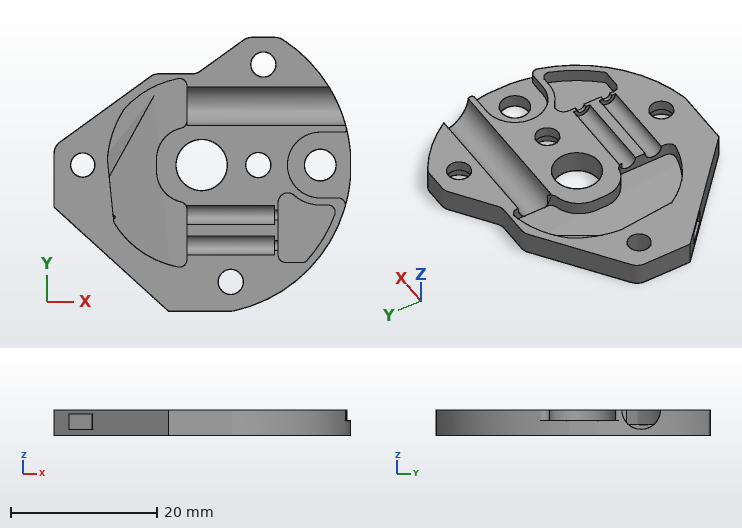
import cadquery as cq
import math

THICKNESS = 3.5
RIM_RADIUS = 20.45
RIGHT_FLAT_X = 20.4
LEFT_X = RIGHT_FLAT_X - 40.6
TOP_Y = 17.5
BOTTOM_Y = TOP_Y - 37.5
SHOULDER_Y = 12.5
CORNER_RADIUS = 2.0
LEFT_LOW = (LEFT_X, -5.75)
BOTTOM_LEFT = (-4.55, BOTTOM_Y)
TOP_LEFT_X = 6.25
SHOULDER_RIGHT_X = -0.7
SHOULDER_LEFT_X = -6.5
LEFT_HIGH_Y = 2.55

PICK_MARGIN = 0.1

MAIN_BORE = 7.0
PIN_HOLE = 3.3
PIN_X = -16.3
PORT_HOLE = 4.3
PORT_X = 16.25
SCREW_HOLE = 3.4
SCREW_POINTS = [(8.45, 13.75), (3.98, -16.0), (7.75, 0)]
COUNTERBORE = 5.28
COUNTERBORE_DEPTH = 1.9

POCKET_FLOOR = 1.5
POCKET_RIGHT_X = -2.05
POCKET_CENTER = (-0.8, -1.05)
POCKET_RADIUS = 13.1
POCKET_CORNER = 0.97
ISLAND_LEFT_X = -6.17
ISLAND_HALF_WIDTH = 5.15
ISLAND_CORNER = 4.3
POCKET_SHOULDER_X = -10.68
POCKET_LEFT_MID = (-12.15, 4.55)
POCKET_LEFT_TOP = (-12.9, 0.8)
POCKET_LEFT_LOW_X = -12.0
RAMP_TIP = (-6.55, 9.45, POCKET_FLOOR)
RAMP_HINGE_END = (-4.35, -13.7, POCKET_FLOOR)
RAMP_SIDE = (-12.8, 1.6, POCKET_FLOOR)

DUCT_BOTTOM = 0.85
DUCT_TOP = 2.92
DUCT_START = 2.8
DUCT_WIDTH = 4.35
DUCT_LENGTH = 4.65
RAMP_LOW = (-12.65, -1.62, DUCT_BOTTOM)

CHANNEL_Y = 8.05
CHANNEL_RADIUS = 2.65
SMALL_GROOVE_YS = (-6.85, -11.0)
SMALL_GROOVE_RADIUS = 1.3
SMALL_GROOVE_END_X = 9.95
NECK_RADIUS = 0.7

RECESS_FLOOR = 2.05
RECESS_RADIUS = 4.5
LIP_UPPER_ROUND = 0.35
LIP_LOWER_ROUND = 0.97

SIDE_FLOOR = 1.5
SIDE_LEFT_X = 10.47
SIDE_BOTTOM_Y = -13.3
SIDE_RIM_RADIUS = 19.45
SIDE_INNER_RADIUS = 5.5
SIDE_NOSE_RADIUS = 1.3
SIDE_CORNER = 0.97
SIDE_TIP_CORNER = 0.5


def polar(center, radius, angle):
    """Point on a circle, with the angle in radians."""
    return (center[0] + radius * math.cos(angle), center[1] + radius * math.sin(angle))


def leg(radius, other):
    """Second leg of a right triangle with the given hypotenuse."""
    return math.sqrt(radius**2 - other**2)


def edge_at(x, y):
    """Selector for the upright edge at one point of an outline."""
    return cq.selectors.BoxSelector(
        (x - PICK_MARGIN, y - PICK_MARGIN, 0), (x + PICK_MARGIN, y + PICK_MARGIN, THICKNESS)
    )


def make_plate():
    flat_half = leg(RIM_RADIUS, RIGHT_FLAT_X)
    outline = (
        cq.Workplane()
        .moveTo(*LEFT_LOW)
        .lineTo(*BOTTOM_LEFT)
        .lineTo(leg(RIM_RADIUS, BOTTOM_Y), BOTTOM_Y)
        .threePointArc(polar((0, 0), RIM_RADIUS, -math.pi / 6), (RIGHT_FLAT_X, -flat_half))
        .lineTo(RIGHT_FLAT_X, flat_half)
        .threePointArc(polar((0, 0), RIM_RADIUS, math.pi / 6), (leg(RIM_RADIUS, TOP_Y), TOP_Y))
        .lineTo(TOP_LEFT_X, TOP_Y)
        .lineTo(SHOULDER_RIGHT_X, SHOULDER_Y)
        .lineTo(SHOULDER_LEFT_X, SHOULDER_Y)
        .lineTo(LEFT_X, LEFT_HIGH_Y)
        .close()
    )
    plate = outline.extrude(THICKNESS)
    sharp = [LEFT_LOW, BOTTOM_LEFT, (RIGHT_FLAT_X, -flat_half), (RIGHT_FLAT_X, flat_half)]
    rounded = cq.StringSyntaxSelector("|Z")
    for point in sharp:
        rounded = rounded - edge_at(*point)
    return plate.edges(rounded).fillet(CORNER_RADIUS)


def make_holes():
    holes = cq.Workplane().circle(MAIN_BORE / 2).extrude(THICKNESS)
    holes = holes.union(cq.Workplane().center(PIN_X, 0).circle(PIN_HOLE / 2).extrude(THICKNESS))
    holes = holes.union(cq.Workplane().center(PORT_X, 0).circle(PORT_HOLE / 2).extrude(THICKNESS))
    screws = cq.Workplane().pushPoints(SCREW_POINTS)
    holes = holes.union(screws.circle(SCREW_HOLE / 2).extrude(THICKNESS))
    return holes.union(screws.circle(COUNTERBORE / 2).extrude(COUNTERBORE_DEPTH))


def make_crescent():
    """Full-height column with the outline of the crescent pocket."""
    cx, cy = POCKET_CENTER
    half_height = leg(POCKET_RADIUS, POCKET_RIGHT_X - cx)
    shoulder_angle = math.acos((POCKET_SHOULDER_X - cx) / POCKET_RADIUS)
    low_angle = -math.acos((POCKET_LEFT_LOW_X - cx) / POCKET_RADIUS)
    outline = (
        cq.Workplane()
        .moveTo(POCKET_RIGHT_X, cy + half_height)
        .threePointArc(
            polar(POCKET_CENTER, POCKET_RADIUS, (shoulder_angle + math.pi / 2) / 2),
            polar(POCKET_CENTER, POCKET_RADIUS, shoulder_angle),
        )
        .threePointArc(POCKET_LEFT_MID, POCKET_LEFT_TOP)
        .lineTo(*polar(POCKET_CENTER, POCKET_RADIUS, low_angle))
        .threePointArc(
            polar(POCKET_CENTER, POCKET_RADIUS, (low_angle - math.pi / 2) / 2),
            (POCKET_RIGHT_X, cy - half_height),
        )
        .close()
    )
    island = (
        cq.Workplane()
        .rect(-2 * ISLAND_LEFT_X, 2 * ISLAND_HALF_WIDTH)
        .extrude(THICKNESS)
        .edges("|Z and <X")
        .fillet(ISLAND_CORNER)
    )
    column = outline.extrude(THICKNESS).cut(island)
    corners = cq.selectors.BoxSelector(
        (POCKET_RIGHT_X - PICK_MARGIN, -RIM_RADIUS, 0),
        (POCKET_RIGHT_X + PICK_MARGIN, RIM_RADIUS, THICKNESS),
    )
    return column.edges("|Z").edges(corners).fillet(POCKET_CORNER)


def space_above(first, second, third):
    """Large block on the upper side of the plane through three points."""
    origin = cq.Vector(*first)
    along = cq.Vector(*second) - origin
    normal = along.cross(cq.Vector(*third) - origin)
    if normal.z < 0:
        normal = normal * -1
    size = 4 * RIM_RADIUS
    return cq.Workplane(cq.Plane(origin, along, normal)).rect(size, size).extrude(size)


def make_pocket():
    crescent = make_crescent()
    upper = crescent.intersect(space_above(RAMP_TIP, RAMP_HINGE_END, RAMP_SIDE))
    ramp = crescent.intersect(space_above(RAMP_TIP, RAMP_HINGE_END, RAMP_LOW))
    ramp = ramp.intersect(space_above(RAMP_TIP, RAMP_SIDE, RAMP_LOW))
    return upper.union(ramp)


def make_duct():
    along = cq.Vector(BOTTOM_LEFT[0] - LEFT_LOW[0], BOTTOM_LEFT[1] - LEFT_LOW[1], 0)
    face = cq.Plane((*LEFT_LOW, 0), along, along.cross(cq.Vector(0, 0, -1)))
    opening = cq.Workplane(face).center(DUCT_START + DUCT_WIDTH / 2, -(DUCT_BOTTOM + DUCT_TOP) / 2)
    return opening.rect(DUCT_WIDTH, DUCT_TOP - DUCT_BOTTOM).extrude(DUCT_LENGTH)


def groove(y, radius, start_x, end_x):
    """Cylinder along X with its axis in the top face."""
    return cq.Workplane("YZ", (start_x, y, THICKNESS)).circle(radius).extrude(end_x - start_x)


def make_recess():
    depth = THICKNESS - RECESS_FLOOR
    base = cq.Workplane(origin=(PORT_X, 0, RECESS_FLOOR))
    slot = base.rect(RIM_RADIUS, 2 * RECESS_RADIUS).extrude(depth)
    slot = slot.intersect(base.center(RIM_RADIUS / 2, 0).rect(RIM_RADIUS, RIM_RADIUS).extrude(depth))
    return slot.union(base.circle(RECESS_RADIUS).extrude(depth))


def round_lip(body, side, radius):
    """Round the vertical edge where one recess wall meets the rim."""
    x = leg(RIM_RADIUS, RECESS_RADIUS)
    return body.edges("|Z").edges(edge_at(x, side * RECESS_RADIUS)).fillet(radius)


def make_side_pocket():
    port = (PORT_X, 0)
    nose_x = SIDE_LEFT_X + SIDE_NOSE_RADIUS
    nose = (nose_x, -leg(SIDE_INNER_RADIUS + SIDE_NOSE_RADIUS, PORT_X - nose_x))
    toward_port = math.atan2(-nose[1], PORT_X - nose_x)
    inner_mid = (toward_port + math.pi + 1.5 * math.pi) / 2
    right_top = (leg(SIDE_RIM_RADIUS, SIDE_INNER_RADIUS), -SIDE_INNER_RADIUS)
    right_low = (leg(SIDE_RIM_RADIUS, SIDE_BOTTOM_Y), SIDE_BOTTOM_Y)
    rim_mid = (math.atan2(right_top[1], right_top[0]) + math.atan2(right_low[1], right_low[0])) / 2
    pocket = (
        cq.Workplane(origin=(0, 0, SIDE_FLOOR))
        .moveTo(SIDE_LEFT_X, SIDE_BOTTOM_Y)
        .lineTo(SIDE_LEFT_X, nose[1])
        .threePointArc(
            polar(nose, SIDE_NOSE_RADIUS, (math.pi + toward_port) / 2),
            polar(nose, SIDE_NOSE_RADIUS, toward_port),
        )
        .threePointArc(polar(port, SIDE_INNER_RADIUS, inner_mid), (PORT_X, -SIDE_INNER_RADIUS))
        .lineTo(*right_top)
        .threePointArc(polar((0, 0), SIDE_RIM_RADIUS, rim_mid), right_low)
        .close()
        .extrude(THICKNESS - SIDE_FLOOR)
    )
    pocket = pocket.edges("|Z and (<X or >X)").edges("<Y or >X").fillet(SIDE_CORNER)
    return pocket.edges("|Z").edges(edge_at(*right_low)).fillet(SIDE_TIP_CORNER)


result = make_plate().cut(make_recess())
result = round_lip(result, 1, LIP_UPPER_ROUND)
result = round_lip(result, -1, LIP_LOWER_ROUND)
result = result.cut(groove(CHANNEL_Y, CHANNEL_RADIUS, POCKET_RIGHT_X, RIM_RADIUS))
for groove_y in SMALL_GROOVE_YS:
    result = result.cut(groove(groove_y, SMALL_GROOVE_RADIUS, POCKET_RIGHT_X, SMALL_GROOVE_END_X))
    result = result.cut(groove(groove_y, NECK_RADIUS, SMALL_GROOVE_END_X, SIDE_LEFT_X))
result = result.cut(make_pocket()).cut(make_duct()).cut(make_side_pocket()).cut(make_holes())